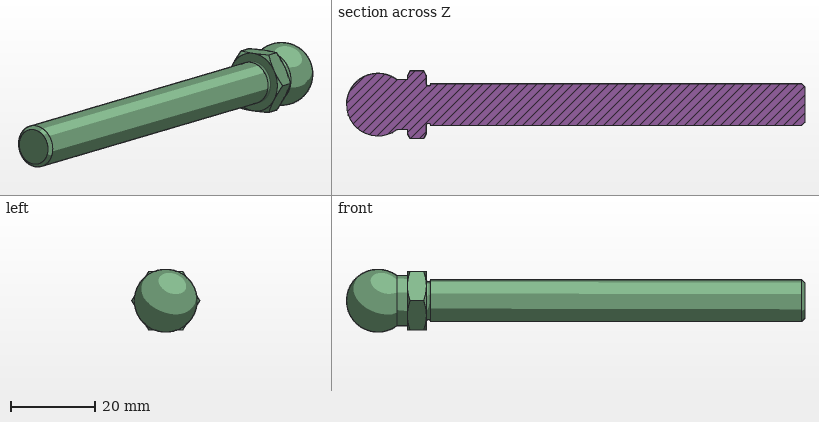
import cadquery as cq
import math

OVERALL_LENGTH = 109.0

BALL_DIAMETER = 15.0
NECK_DIAMETER = 12.0

HEX_SIDES = 6
HEX_HALF_SECTOR = 180 / HEX_SIDES
HEX_ACROSS_FLATS = 14.0
HEX_THICKNESS = 4.5
HEX_CHAMFER_ANGLE = 30.0

SHANK_DIAMETER = 10.0
TIP_DIAMETER = 8.376
RELIEF_RADIUS = 0.5

BALL_RADIUS = BALL_DIAMETER / 2
HEX_ACROSS_CORNERS = HEX_ACROSS_FLATS / math.cos(math.radians(HEX_HALF_SECTOR))

HEX_START = 7.0
HEX_END = HEX_START + HEX_THICKNESS
SHANK_START = HEX_END + 2 * RELIEF_RADIUS
SHANK_END = OVERALL_LENGTH - BALL_RADIUS


def revolve_about_x(profile):
    """Turn a closed profile drawn in the XY plane a full turn about X."""
    return profile.revolve(360, (0, 0, 0), (1, 0, 0))


def make_ball_and_neck():
    """Ball, cut off where its sphere reaches the cylindrical neck, and the neck up to the hexagon."""
    neck_radius = NECK_DIAMETER / 2
    ball_end = math.sqrt(BALL_RADIUS**2 - neck_radius**2)
    return revolve_about_x(
        cq.Workplane("XY")
        .moveTo(-BALL_RADIUS, 0)
        .threePointArc((0, BALL_RADIUS), (ball_end, neck_radius))
        .lineTo(HEX_START, neck_radius)
        .lineTo(HEX_START, 0)
        .close()
    )


def make_hex_collar():
    """Hexagon with flats facing +Z and -Z, its corners chamfered at both ends."""
    blank = (
        cq.Workplane("YZ", origin=(HEX_START, 0, 0))
        .polygon(HEX_SIDES, HEX_ACROSS_CORNERS)
        .extrude(HEX_THICKNESS)
    )
    face_radius = HEX_ACROSS_FLATS / 2
    corner_radius = HEX_ACROSS_CORNERS / 2
    chamfer_length = (corner_radius - face_radius) * math.tan(math.radians(HEX_CHAMFER_ANGLE))
    envelope = revolve_about_x(
        cq.Workplane("XY")
        .moveTo(HEX_START, 0)
        .lineTo(HEX_START, face_radius)
        .lineTo(HEX_START + chamfer_length, corner_radius)
        .lineTo(HEX_END - chamfer_length, corner_radius)
        .lineTo(HEX_END, face_radius)
        .lineTo(HEX_END, 0)
        .close()
    )
    return blank.intersect(envelope)


def make_shank():
    """Half-round relief behind the hexagon, then the plain shank with its chamfered tip."""
    shank_radius = SHANK_DIAMETER / 2
    tip_radius = TIP_DIAMETER / 2
    tip_chamfer = shank_radius - tip_radius
    relief_bottom = (HEX_END + RELIEF_RADIUS, shank_radius - RELIEF_RADIUS)
    return revolve_about_x(
        cq.Workplane("XY")
        .moveTo(HEX_END, 0)
        .lineTo(HEX_END, shank_radius)
        .threePointArc(relief_bottom, (SHANK_START, shank_radius))
        .lineTo(SHANK_END - tip_chamfer, shank_radius)
        .lineTo(SHANK_END, tip_radius)
        .lineTo(SHANK_END, 0)
        .close()
    )


result = make_ball_and_neck().union(make_hex_collar()).union(make_shank())